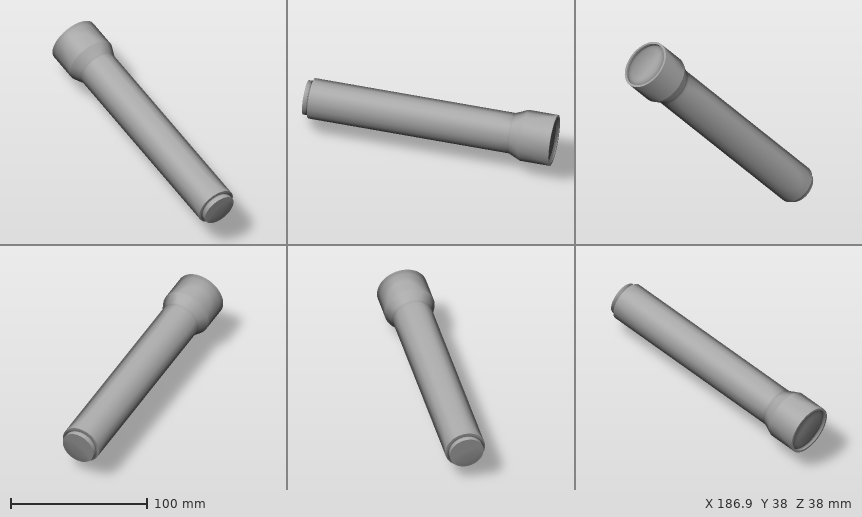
import cadquery as cq

TOTAL_LENGTH = 186.9
HEAD_DIAMETER = 38.0
HEAD_LENGTH = 22.5
TAPER_LENGTH = 9.0
BODY_DIAMETER = 30.0
LENS_DIAMETER = 34.5
LENS_RECESS_DEPTH = 2.5

TAIL_LENGTH = 4.3
NECK_LENGTH = 1.1
NECK_DIAMETER = 24.5
FLANGE_DIAMETER = 25.6

head_face = -TOTAL_LENGTH / 2
taper_start = head_face + HEAD_LENGTH
taper_end = taper_start + TAPER_LENGTH
tail_face = TOTAL_LENGTH / 2
body_end = tail_face - TAIL_LENGTH
flange_start = body_end + NECK_LENGTH
lens_face = head_face + LENS_RECESS_DEPTH

half_section = [
    (lens_face, 0),
    (lens_face, LENS_DIAMETER / 2),
    (head_face, LENS_DIAMETER / 2),
    (head_face, HEAD_DIAMETER / 2),
    (taper_start, HEAD_DIAMETER / 2),
    (taper_end, BODY_DIAMETER / 2),
    (body_end, BODY_DIAMETER / 2),
    (body_end, NECK_DIAMETER / 2),
    (flange_start, NECK_DIAMETER / 2),
    (flange_start, FLANGE_DIAMETER / 2),
    (tail_face, FLANGE_DIAMETER / 2),
    (tail_face, 0),
]

result = cq.Workplane("XZ").polyline(half_section).close().revolve(360, (0, 0, 0), (1, 0, 0))